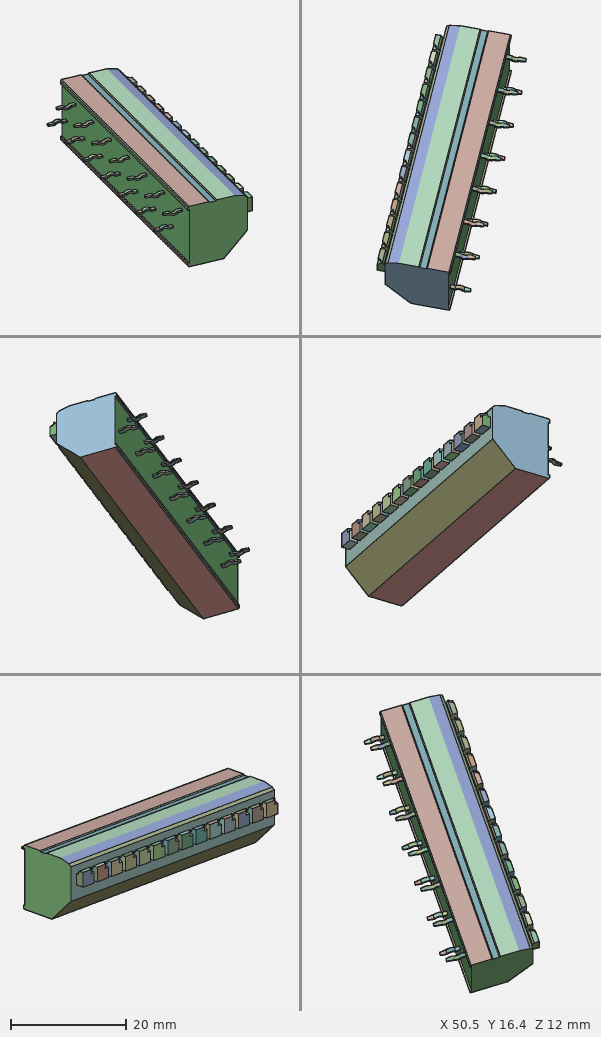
import cadquery as cq
import math

pole_count = 14
pitch = 3.5
end_allowance = 1.5
body_length = pole_count * pitch + end_allowance
body_depth = 11.5
body_height = 12.0

bottom_chamfer = 4.6
top_chamfer_run = 0.5
top_chamfer_drop = 0.95
slope_end_run = 2.5
slope_drop = 0.5

channel_front = 4.0
channel_rear = 5.55
channel_depth = 0.18
channel_wall_run = 0.2

lip_projection = 0.3
lip_height = 0.75
lip_chamfer = 0.2

button_width = 2.75
button_offset = 0.83
button_projection = 1.6
button_bottom = 7.3
button_top = 10.05
button_ledge_drop = 0.65
button_ledge_depth = 0.38
button_step_run = 0.3
notch_radius = 0.7
notch_outer_depth = 0.78
notch_inner_depth = 0.45

first_pin_offset = 1.8
pin_width = 0.75
pin_thickness = 0.33
pin_projection = 3.3
pin_embed = 0.5
lower_pin_z = 4.7
pin_row_spacing = 5.0
crimp_start = 0.55
crimp_length = 1.62
crimp_rise = 0.33
pin_tip_width = 0.5
pin_tip_length = 0.8

body_left = -body_length / 2


def make_body():
    """Housing: the side outline in the YZ plane, extruded over the full length."""
    top = body_height
    rear = body_depth
    outline = [
        (lip_chamfer, 0),
        (rear - bottom_chamfer, 0),
        (rear, bottom_chamfer),
        (rear, top - top_chamfer_drop),
        (rear - top_chamfer_run, top - slope_drop),
        (rear - slope_end_run, top),
        (channel_rear, top),
        (channel_rear - channel_wall_run, top - channel_depth),
        (channel_front + channel_wall_run, top - channel_depth),
        (channel_front, top),
        (lip_chamfer, top),
        (0, top - lip_chamfer),
        (0, top - lip_height),
        (lip_projection, top - lip_height),
        (lip_projection, lip_height),
        (0, lip_height),
        (0, lip_chamfer),
    ]
    return cq.Workplane("YZ", origin=(body_left, 0, 0)).polyline(outline).close().extrude(body_length)


def make_button():
    """Stepped push button starting at X = 0, with a quarter-round notch in one outer top corner."""
    outer = body_depth + button_projection
    ledge_z = button_top - button_ledge_drop
    ledge_end = body_depth + button_ledge_depth
    outline = [
        (body_depth, button_bottom),
        (outer, button_bottom),
        (outer, button_top),
        (ledge_end + button_step_run, button_top),
        (ledge_end, ledge_z),
        (body_depth, ledge_z),
    ]
    button = cq.Workplane("YZ").polyline(outline).close().extrude(button_width)
    notch_round = (
        cq.Workplane("XY", origin=(0, outer, button_top - notch_outer_depth))
        .circle(notch_radius)
        .extrude(notch_outer_depth)
    )
    notch_side = [
        (outer, button_top),
        (outer, button_top - notch_outer_depth),
        (outer - notch_radius, button_top - notch_inner_depth),
        (outer - notch_radius, button_top),
    ]
    notch_wedge = cq.Workplane("YZ").polyline(notch_side).close().extrude(notch_radius)
    return button.cut(notch_round.intersect(notch_wedge))


def make_pin(crimp_direction):
    """Flat pin centred on X = 0, Z = 0, with a tapered tip and an arched crimp towards +Z (1) or -Z (-1)."""
    half_width = pin_width / 2
    half_thickness = pin_thickness / 2
    root = lip_projection + pin_embed
    crimp_near = -crimp_start
    crimp_far = crimp_near - crimp_length
    crimp_middle = (crimp_near + crimp_far) / 2

    half_chord = crimp_length / 2
    outer_radius = (half_chord**2 + crimp_rise**2) / (2 * crimp_rise)
    inner_radius = outer_radius - pin_thickness
    centre_z = half_thickness + crimp_rise - outer_radius
    foot_angle = math.asin(half_chord / outer_radius)
    inner_half_chord = inner_radius * math.sin(foot_angle)
    inner_foot_z = centre_z + inner_radius * math.cos(foot_angle)
    bend_half_angle = foot_angle / 2
    bend_y = pin_thickness * math.sin(bend_half_angle)
    bend_z = half_thickness - pin_thickness * math.cos(bend_half_angle)

    def at(y, z):
        return (y, crimp_direction * z)

    profile = (
        cq.Workplane("YZ", origin=(-half_width, 0, 0))
        .moveTo(*at(root, half_thickness))
        .lineTo(*at(crimp_near, half_thickness))
        .threePointArc(at(crimp_middle, half_thickness + crimp_rise), at(crimp_far, half_thickness))
        .lineTo(*at(-pin_projection, half_thickness))
        .lineTo(*at(-pin_projection, -half_thickness))
        .lineTo(*at(crimp_far, -half_thickness))
        .threePointArc(at(crimp_far + bend_y, bend_z), at(crimp_middle - inner_half_chord, inner_foot_z))
        .threePointArc(
            at(crimp_middle, centre_z + inner_radius),
            at(crimp_middle + inner_half_chord, inner_foot_z),
        )
        .threePointArc(at(crimp_near - bend_y, bend_z), at(crimp_near, -half_thickness))
        .lineTo(*at(root, -half_thickness))
        .close()
    )
    pin = profile.extrude(pin_width)

    half_tip = pin_tip_width / 2
    taper_start = pin_tip_length - pin_projection
    plan_outline = [
        (half_width, root),
        (-half_width, root),
        (-half_width, taper_start),
        (-half_tip, -pin_projection),
        (half_tip, -pin_projection),
        (half_width, taper_start),
    ]
    plan_height = crimp_rise + pin_thickness
    plan = cq.Workplane("XY").polyline(plan_outline).close().extrude(plan_height, both=True)
    return pin.intersect(plan)


def make_part():
    """Housing with one button and one pin per pole; the pins alternate between two rows."""
    lower_pin = make_pin(1).translate((0, 0, lower_pin_z))
    upper_pin = make_pin(-1).translate((0, 0, lower_pin_z + pin_row_spacing))
    button = make_button()
    part = make_body()
    for pole in range(pole_count):
        pole_x = body_left + pole * pitch
        pin = lower_pin if pole % 2 == 0 else upper_pin
        part = part.union(button.translate((pole_x + button_offset, 0, 0)))
        part = part.union(pin.translate((pole_x + first_pin_offset, 0, 0)))
    return part


result = make_part()